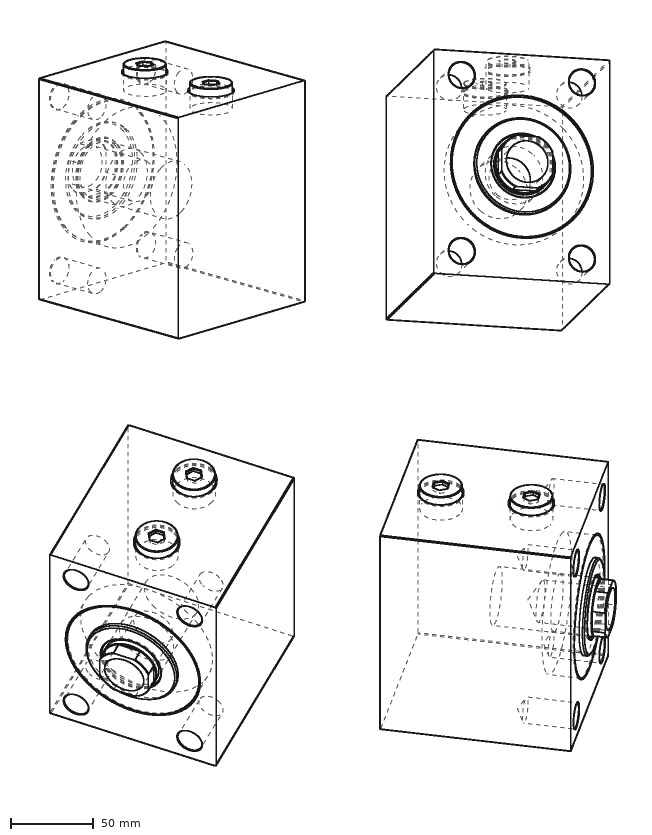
import cadquery as cq
import math


housing_length = 118.0
housing_width = 110.0
housing_height = 140.0
long_edge_chamfer = 0.6

mount_hole_diameter = 16.0
mount_hole_rim_chamfer = 0.5
mount_hole_depth = 31.9
mount_spacing_y = 75.0
mount_spacing_z = 110.0
drill_point_angle = 118.0

gland_diameter = 87.2
gland_depth = 20.3
gland_seat_chamfer = 1.0
gland_boss_diameter = 60.0
gland_boss_height = 3.0
gland_boss_chamfer = 1.0
wiper_recess_diameter = 39.4
wiper_recess_depth = 1.5
wiper_rim_chamfer = 0.5

rod_diameter = 36.0
rod_projection = 13.0
rod_insertion = 58.0
rod_shoulder_chamfer = 0.5
tip_length = 7.8
tip_diameter = 35.0
tip_end_chamfer = 0.3
tip_across_flats = 32.0
rod_hole_diameter = 26.0
rod_hole_depth = 43.5

plug_diameter = 26.0
plug_height = 4.9
plug_insertion = 11.6
plug_top_chamfer = 0.5
port_spotface_diameter = 28.0
port_spotface_depth = 1.0
plug_positions_x = (36.0, 92.0)
socket_across_flats = 8.7
socket_depth = 2.5
socket_rim_chamfer = 0.5
hexagon_sides = 6
hexagon_turn = 180.0 / hexagon_sides

chamfer_angle = 45.0

housing_top = housing_height / 2


def x_cylinder(diameter, start, end):
    """Cylinder on the rod axis between two X positions."""
    return cq.Workplane("YZ", origin=(start, 0, 0)).circle(diameter / 2).extrude(end - start)


def drilled_hole(diameter, entry, depth):
    """Cutter along +X that ends in a drill point below its full-diameter depth."""
    radius = diameter / 2
    point_length = radius / math.tan(math.radians(drill_point_angle / 2))
    return (
        cq.Workplane("XY")
        .moveTo(entry, 0)
        .lineTo(entry, radius)
        .lineTo(entry + depth, radius)
        .lineTo(entry + depth + point_length, 0)
        .close()
        .revolve(360, (0, 0, 0), (1, 0, 0))
    )


def countersink(diameter, chamfer):
    """Cone that chamfers the rim of a hole in the plane Z = 0, opening upwards."""
    return cq.Workplane("XY").circle(diameter / 2 + chamfer).extrude(-chamfer, taper=chamfer_angle)


def front_countersink(diameter, chamfer):
    """Cone that chamfers the rim of a hole in the plane X = 0, opening towards -X."""
    return countersink(diameter, chamfer).rotate((0, 0, 0), (0, 1, 0), -90)


def hexagon(across_flats):
    """Hexagon outline in the plane Z = 0 with two corners on the X axis."""
    return cq.Workplane("XY").polygon(hexagon_sides, across_flats / math.cos(math.pi / hexagon_sides))


def make_housing():
    block = cq.Workplane("XY").box(housing_length, housing_width, housing_height)
    block = block.translate((housing_length / 2, 0, 0))
    block = block.edges("|X").chamfer(long_edge_chamfer)

    block = block.cut(x_cylinder(gland_diameter, 0, gland_depth))
    block = block.cut(front_countersink(gland_diameter, gland_seat_chamfer))
    block = block.cut(x_cylinder(rod_diameter, gland_depth, rod_insertion))

    mount_hole = drilled_hole(mount_hole_diameter, 0, mount_hole_depth)
    mount_hole = mount_hole.union(front_countersink(mount_hole_diameter, mount_hole_rim_chamfer))
    for side_y in (-1, 1):
        for side_z in (-1, 1):
            place = (0, side_y * mount_spacing_y / 2, side_z * mount_spacing_z / 2)
            block = block.cut(mount_hole.translate(place))

    port = cq.Workplane("XY").circle(plug_diameter / 2).extrude(-plug_insertion)
    spotface = cq.Workplane("XY").circle(port_spotface_diameter / 2).extrude(-port_spotface_depth)
    port = port.union(spotface)
    for x in plug_positions_x:
        block = block.cut(port.translate((x, 0, housing_top)))
    return block


def make_gland():
    boss = x_cylinder(gland_boss_diameter, -gland_boss_height, 0)
    boss = boss.faces("<X").edges().chamfer(gland_boss_chamfer)
    gland = x_cylinder(gland_diameter, 0, gland_depth).union(boss)

    gland = gland.cut(x_cylinder(rod_diameter, -gland_boss_height, gland_depth))
    recess_floor = wiper_recess_depth - gland_boss_height
    gland = gland.cut(x_cylinder(wiper_recess_diameter, -gland_boss_height, recess_floor))
    recess_rim = front_countersink(wiper_recess_diameter, wiper_rim_chamfer)
    return gland.cut(recess_rim.translate((-gland_boss_height, 0, 0)))


def make_rod():
    tip_start = -rod_projection
    shoulder = tip_start + tip_length
    shank = x_cylinder(rod_diameter, shoulder, rod_insertion)
    shank = shank.faces("<X").edges().chamfer(rod_shoulder_chamfer)

    flats = cq.Workplane("YZ", origin=(tip_start, 0, 0)).rect(tip_across_flats, tip_across_flats)
    tip = x_cylinder(tip_diameter, tip_start, shoulder)
    tip = tip.faces("<X").edges().chamfer(tip_end_chamfer)
    tip = tip.intersect(flats.extrude(tip_length))
    return shank.union(tip).cut(drilled_hole(rod_hole_diameter, tip_start, rod_hole_depth))


def make_plug(x):
    base = housing_top - plug_insertion
    plug = cq.Workplane("XY", origin=(x, 0, base)).circle(plug_diameter / 2)
    plug = plug.extrude(plug_insertion + plug_height)
    plug = plug.faces(">Z").edges().chamfer(plug_top_chamfer)

    mouth_across_flats = socket_across_flats + 2 * socket_rim_chamfer
    socket = hexagon(socket_across_flats).extrude(-socket_depth)
    socket = socket.union(hexagon(mouth_across_flats).extrude(-socket_rim_chamfer, taper=chamfer_angle))
    socket = socket.rotate((0, 0, 0), (0, 0, 1), hexagon_turn)
    return plug.cut(socket.translate((x, 0, housing_top + plug_height)))


housing = make_housing()
gland = make_gland()
rod = make_rod()
plugs = [make_plug(x) for x in plug_positions_x]

result = cq.Compound.makeCompound(
    [housing.val(), gland.val(), rod.val(), *[plug.val() for plug in plugs]]
)